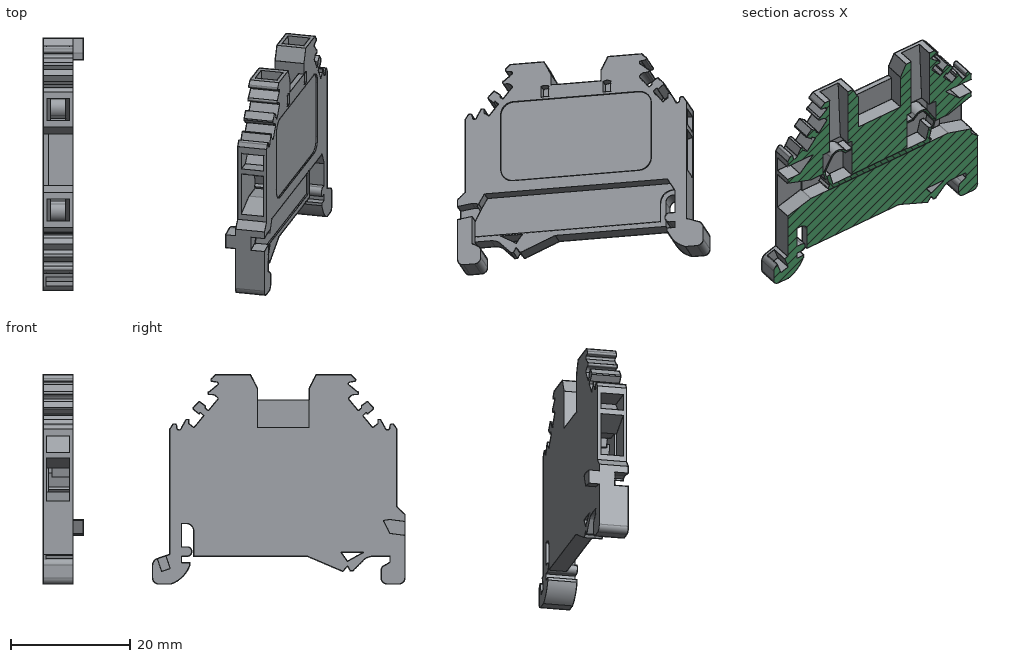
import cadquery as cq
import math


thickness = 5.05
overall_thickness = 6.8
top_z = 35.2
side_y = 19.1
split_z = 16.95

saddle_half = 4.32
saddle_z = 30.95
saddle_wall = 0.95
saddle_floor_z = 26.3
corner_slot_bottom_z = 28.9
corner_slot_inner_y = 4.7
corner_slot_outer_y = 5.98
corner_slot_crown = 0.15
corner_slot_depth = 1.7

panel_half = 12.97
panel_bottom_z = 14.37
panel_top_z = 28.5
panel_radius = 2.2
panel_depth = 0.25

recess_top_z = 12.4
recess_top_half = 15.77
foot_inner_y = 17.9
foot_slope_z = 8.75
leg_inner_y = -17.1
gap_top_z = 10.18
band_depth = 2.0
plate_depth = 2.3
socket_depth = 2.37
band_width = 0.95
rail_z = 4.65
rail_end_y = -15.05
gap_radius = 1.27

foot_outer_y = 20.45
foot_toe_y = 16.4
toe_radius = 1.05
leg_toe_y = -21.95
leg_notch_z = 3.6
bump_radius = 0.8
bump_centre_z = rail_z + bump_radius
bump_centre_y = rail_end_y - 0.3 - bump_radius
shelf_inner_z = 5.0
shelf_outer_y = -21.33
shelf_outer_z = 4.25
shelf_slot_start = 0.65
shelf_slot_end = 2.08
shelf_slot_depth = 2.3
shelf_slot_wall = 0.5

opening_x0 = 0.55
opening_x1 = 4.4
chamber_x0 = 0.95
tool_floor_z = 22.1
tool_top_z = 24.85
tool_flat_depth = 2.55
entry_bottom_z = 13.95
entry_top_z = 21.15
throat_bottom_z = 15.45
throat_top_z = 19.45
entry_depth = 4.85
throat_y = side_y - entry_depth

well_inner_y = 6.57
well_outer_y = 10.3
well_x0 = 0.65
well_taper = 0.65

metal_width = opening_x1 - chamber_x0
bar_plate = 0.75
bar_floor_top_z = 16.3
bar_valley_y = 10.4
bar_lip = 0.42
bar_lip_z = 15.85
bar_top_z = 18.65
bar_lean = 0.25
strip = 0.42
spring_tip_z = 18.0
spring_elbow_z = 19.75
spring_tip_x = 1.5
arch_y = 8.65
arch_radius = 1.7
spring_foot_y = 6.9
leg_slope = math.radians(60)
foot_slope = math.radians(45)
chamber_inner_y = 5.72
chamber_clearance = 0.42


def bar_face_y(z):
    """Y of the leaning outer face of the busbar at height z."""
    return bar_valley_y + bar_lean * (z - bar_floor_top_z)


def arch_point(radius, angle):
    """Point of the spring arch at an angle from its crown; positive angles lead outward."""
    return (arch_y + radius * math.sin(angle), arch_z + radius * math.cos(angle))


elbow_outer_y = bar_face_y(spring_elbow_z) + strip
leg_drop = (elbow_outer_y - arch_y - arch_radius * math.sin(leg_slope)) * math.tan(leg_slope)
arch_z = spring_elbow_z + leg_drop - arch_radius * math.cos(leg_slope)
chamber_top_z = arch_z + arch_radius + chamber_clearance


def plane(x):
    """YZ plane at the given X; local coordinates are (Y, Z)."""
    return cq.Workplane("YZ", origin=(x, 0, 0))


def plate(points, x0, x1):
    """Straight-sided YZ outline, solid from x0 to x1."""
    return plane(x0).polyline(points).close().extrude(x1 - x0)


def block(x0, x1, y0, y1, z0, z1):
    return cq.Workplane("XY").box(x1 - x0, y1 - y0, z1 - z0, centered=False).translate((x0, y0, z0))


def both_sides(shape):
    return shape.union(shape.mirror("XZ"))


def upper_half():
    """One half of the symmetrical upper part, with its tower and marker teeth."""
    outline = (
        plane(0).moveTo(0, split_z).lineTo(0, saddle_z).lineTo(saddle_half, saddle_z)
        .lineTo(saddle_half, 32.85).lineTo(5.5, top_z).lineTo(11.35, top_z)
        .lineTo(12.05, 34.5).threePointArc((12.15, 34.25), (12.0, 34.05))
        .lineTo(11.28, 33.9).threePointArc((11.0, 33.8), (11.0, 33.5)).lineTo(12.4, 32.35)
        .threePointArc((12.65, 32.0), (12.4, 31.8)).lineTo(11.87, 31.8)
        .threePointArc((11.3, 31.6), (10.95, 31.12))
        .lineTo(12.6, 29.15).lineTo(13.1, 29.55).lineTo(13.1, 29.95).lineTo(14.1, 30.7)
        .lineTo(15.15, 29.65).lineTo(15.15, 29.4).lineTo(14.1, 28.55).lineTo(13.95, 28.85).lineTo(13.35, 28.3)
        .lineTo(15.0, 26.3).lineTo(15.85, 26.95).lineTo(15.85, 27.65).lineTo(16.32, 27.65)
        .lineTo(17.1, 26.3).threePointArc((17.45, 25.9), (17.85, 26.15)).lineTo(17.9, 26.63)
        .threePointArc((18.25, 26.92), (18.6, 26.7)).lineTo(side_y, 26.05).lineTo(side_y, split_z).close()
    )
    return outline.extrude(thickness)


def lower_part():
    """Lower part with the fixed foot, the rail clip and the hooked leg."""
    outline = (
        plane(0).moveTo(side_y, split_z).lineTo(side_y, 12.97).lineTo(foot_outer_y, 11.7)
        .lineTo(foot_outer_y, toe_radius).radiusArc((foot_outer_y - toe_radius, 0), toe_radius)
        .lineTo(foot_toe_y + toe_radius, 0).radiusArc((foot_toe_y, toe_radius), toe_radius)
        .lineTo(foot_toe_y, 2.35).threePointArc((16.58, 2.85), (17.05, 3.2))
        .lineTo(foot_inner_y, 3.7).lineTo(foot_inner_y, rail_z)
        .lineTo(15.1, rail_z).threePointArc((14.35, 4.55), (13.7, 4.25))
        .lineTo(11.7, 2.25).lineTo(11.25, 2.25).lineTo(10.75, 3.05).lineTo(10.0, 2.1).lineTo(4.03, rail_z)
        .lineTo(rail_end_y, rail_z)
        .lineTo(rail_end_y, gap_top_z - gap_radius)
        .radiusArc((rail_end_y - gap_radius, gap_top_z), -gap_radius)
        .lineTo(leg_inner_y, gap_top_z)
        .lineTo(leg_inner_y, bump_centre_z + bump_radius)
        .lineTo(bump_centre_y, bump_centre_z + bump_radius)
        .threePointArc((bump_centre_y + bump_radius, bump_centre_z), (bump_centre_y, rail_z))
        .lineTo(leg_inner_y, rail_z).lineTo(leg_inner_y, leg_notch_z).lineTo(-15.7, leg_notch_z)
        .lineTo(-15.7, 3.15).threePointArc((-16.85, 1.3), (-18.85, 0))
        .lineTo(leg_toe_y + toe_radius, 0).radiusArc((leg_toe_y, toe_radius), toe_radius)
        .lineTo(leg_toe_y, 3.22).threePointArc((-21.75, 3.8), (shelf_outer_y, shelf_outer_z))
        .lineTo(-side_y, shelf_inner_z).lineTo(-side_y, split_z).close()
    )
    clip_eye = plate([(13.45, 5.35), (9.7, 5.35), (10.75, 3.85)], 0, thickness)
    return outline.extrude(thickness).cut(clip_eye)


def rail_recess():
    """Stepped recess on the open side: the band along the rail edge, then the deeper plate."""
    slope_points = [(foot_inner_y, foot_slope_z), (recess_top_half, recess_top_z),
                    (-recess_top_half, recess_top_z), (leg_inner_y, gap_top_z)]
    to_band = plate(slope_points + [(rail_end_y - gap_radius, gap_top_z), (rail_end_y, gap_top_z - gap_radius),
                                    (rail_end_y, 0), (foot_toe_y - 0.2, 0), (foot_toe_y - 0.2, 3.77),
                                    (foot_inner_y, 3.77)], 0, band_depth)
    plate_z = rail_z + band_width
    plate_end_y = rail_end_y + band_width
    outer_radius = gap_radius + band_width
    inside_band = (
        plane(0).moveTo(foot_inner_y, plate_z).lineTo(foot_inner_y, recess_top_z)
        .lineTo(leg_inner_y, recess_top_z).lineTo(leg_inner_y, gap_top_z + band_width)
        .lineTo(plate_end_y - outer_radius, gap_top_z + band_width)
        .radiusArc((plate_end_y, gap_top_z - gap_radius), outer_radius)
        .lineTo(plate_end_y, plate_z).close().extrude(plate_depth)
    )
    to_plate = plate(slope_points + [(leg_inner_y, plate_z), (foot_inner_y, plate_z)], 0, plate_depth)
    return to_band.union(to_plate.intersect(inside_band))


def key_profile(x0, x1):
    """Outline shared by the locking tab and the socket for the next block's tab."""
    return (
        plane(x0).moveTo(foot_outer_y, 10.5).lineTo(foot_inner_y, 10.85).lineTo(16.8, 10.7)
        .lineTo(foot_inner_y, 8.52).lineTo(foot_outer_y, 8.2).close().extrude(x1 - x0)
    )


def shelf_slot():
    """Slot square to the sloping shelf of the leg, open on the back face."""
    slope = (shelf_inner_z - shelf_outer_z) / (side_y + shelf_outer_y)
    tilt = math.atan(abs(slope))
    near = (-side_y - shelf_slot_start, shelf_inner_z + slope * shelf_slot_start)
    far = (-side_y - shelf_slot_end, shelf_inner_z + slope * shelf_slot_end)
    step_y = shelf_slot_depth * math.sin(tilt)
    step_z = -shelf_slot_depth * math.cos(tilt)
    floor = [(far[0] + step_y, far[1] + step_z), (near[0] + step_y, near[1] + step_z)]
    above = [(near[0], near[1] + strip), (far[0], near[1] + strip)]
    return plate([near] + above + [far] + floor, shelf_slot_wall, thickness)


def label_panel():
    height = panel_top_z - panel_bottom_z
    panel = plane(0).center(0, panel_bottom_z + height / 2).rect(2 * panel_half, height)
    return panel.extrude(panel_depth).edges("|X").fillet(panel_radius)


def corner_slot():
    """Round-topped slot in the open side face, beside the saddle."""
    middle_y = (corner_slot_inner_y + corner_slot_outer_y) / 2
    shoulder_z = saddle_z - corner_slot_crown
    return (
        plane(0).moveTo(corner_slot_inner_y, corner_slot_bottom_z).lineTo(corner_slot_inner_y, shoulder_z)
        .threePointArc((middle_y, saddle_z), (corner_slot_outer_y, shoulder_z))
        .lineTo(corner_slot_outer_y, corner_slot_bottom_z).close().extrude(corner_slot_depth)
    )


def tool_opening():
    """Pocket in an upright end, with a flat floor that ramps up to the ceiling."""
    ramp_y = side_y - tool_flat_depth
    end_y = ramp_y - (tool_top_z - tool_floor_z)
    return plate([(side_y, tool_floor_z), (ramp_y, tool_floor_z), (end_y, tool_top_z), (side_y, tool_top_z)],
                 opening_x0, opening_x1)


def wire_entry():
    """Funnel from an upright end to the clamp chamber."""
    return plate([(side_y, entry_bottom_z), (side_y, entry_top_z), (throat_y, throat_top_z),
                  (throat_y, throat_bottom_z)], opening_x0, opening_x1)


def clamp_chamber():
    """Space for one spring clamp and one end of the busbar."""
    throat = block(chamber_x0, opening_x1, elbow_outer_y, throat_y, throat_bottom_z, throat_top_z)
    body = block(chamber_x0, opening_x1, chamber_inner_y, elbow_outer_y, throat_bottom_z, chamber_top_z)
    return body.union(throat)


def screwdriver_well():
    """Well from the top of a tower down to the spring, tapered in X."""
    return (
        cq.Workplane("XZ", origin=(0, well_outer_y, 0))
        .polyline([(well_x0, top_z), (opening_x1, top_z), (opening_x1 - well_taper, chamber_top_z),
                   (well_x0 + well_taper, chamber_top_z)])
        .close().extrude(well_outer_y - well_inner_y)
    )


def make_housing():
    body = both_sides(upper_half()).union(lower_part())
    body = body.cut(block(saddle_wall, thickness, -saddle_half, saddle_half, saddle_floor_z, saddle_z))
    body = body.cut(label_panel()).cut(rail_recess()).cut(key_profile(0, socket_depth)).cut(shelf_slot())
    for opening in (corner_slot(), tool_opening(), wire_entry(), clamp_chamber(), screwdriver_well()):
        body = body.cut(both_sides(opening))
    body = body.cut(block(chamber_x0, opening_x1, -chamber_inner_y, chamber_inner_y,
                          throat_bottom_z, bar_floor_top_z))
    return body.union(key_profile(thickness, overall_thickness))


def make_busbar():
    """Flat bar across both chambers, each end turned up into a leaning plate above a pointed lip."""
    half = plate([(0, throat_bottom_z), (bar_valley_y, throat_bottom_z),
                  (bar_valley_y + bar_lip, bar_lip_z), (bar_valley_y, bar_floor_top_z),
                  (bar_face_y(bar_top_z), bar_top_z), (bar_face_y(bar_top_z) - bar_plate, bar_top_z),
                  (bar_valley_y - bar_plate, bar_floor_top_z), (0, bar_floor_top_z)],
                 chamber_x0, opening_x1)
    return both_sides(half)


def make_spring():
    """Bent strip: a foot, an arch under the well and a leg that presses on the busbar."""
    inner_radius = arch_radius - strip
    outer_start, outer_end = arch_point(arch_radius, -foot_slope), arch_point(arch_radius, leg_slope)
    inner_start, inner_end = arch_point(inner_radius, -foot_slope), arch_point(inner_radius, leg_slope)
    foot_z = outer_start[1] - (outer_start[0] - spring_foot_y) * math.tan(foot_slope)
    foot_bend = strip * math.tan(foot_slope / 2)
    run = 1 / math.tan(leg_slope)
    base_y = bar_face_y(0)
    inner_elbow_z = (inner_end[0] + run * inner_end[1] - base_y) / (bar_lean + run)
    tip_y = bar_face_y(spring_tip_z)
    spring = (
        plane(chamber_x0).moveTo(chamber_inner_y, foot_z).lineTo(spring_foot_y, foot_z)
        .lineTo(*outer_start).threePointArc(arch_point(arch_radius, 0), outer_end)
        .lineTo(elbow_outer_y, spring_elbow_z)
        .lineTo(tip_y + strip, spring_tip_z).lineTo(tip_y, spring_tip_z)
        .lineTo(bar_face_y(inner_elbow_z), inner_elbow_z)
        .lineTo(*inner_end).threePointArc(arch_point(inner_radius, 0), inner_start)
        .lineTo(spring_foot_y + foot_bend, foot_z - strip).lineTo(chamber_inner_y, foot_z - strip)
        .close().extrude(metal_width)
    )
    tip_notch = block(chamber_x0, spring_tip_x, bar_valley_y, throat_y, spring_tip_z, spring_elbow_z)
    return spring.cut(tip_notch)


housing = make_housing()
busbar = make_busbar()
spring = make_spring()
springs = [spring if side > 0 else spring.mirror("XZ") for side in (1, -1)]

result = cq.Compound.makeCompound([housing.val(), busbar.val()] + [s.val() for s in springs])